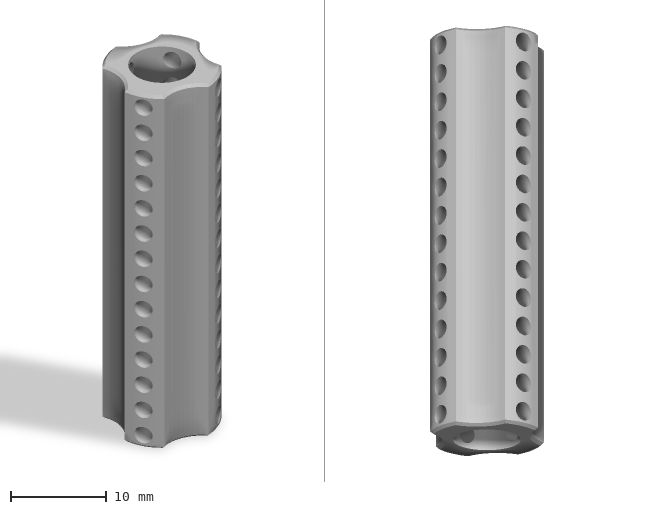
import cadquery as cq
import math

length = 43.75
body_radius = 6.25
lobe_half_width = 2.2
flute_bottom_radius = 4.85
edge_chamfer = 0.3

bore_diameter = 7.1
web_top = 10.95
web_bottom = 8.55
web_hole_diameter = 3.0

side_count = 4
side_hole_diameter = 2.0
holes_per_side = 14
side_hole_end_radius = 2.85

side_angle = 360 / side_count
hole_pitch = length / holes_per_side
lobe_edge_angle = math.degrees(math.asin(lobe_half_width / body_radius))


def polar_point(radius, degrees):
    angle = math.radians(degrees)
    return (radius * math.cos(angle), radius * math.sin(angle))


def fluted_bar():
    """Round bar with a shallow concave flute between neighbouring lobes."""
    outline = cq.Workplane("XY").moveTo(*polar_point(body_radius, -lobe_edge_angle))
    for side in range(side_count):
        lobe_angle = side * side_angle
        next_lobe_angle = lobe_angle + side_angle
        outline = outline.threePointArc(
            polar_point(body_radius, lobe_angle),
            polar_point(body_radius, lobe_angle + lobe_edge_angle),
        )
        outline = outline.threePointArc(
            polar_point(flute_bottom_radius, lobe_angle + side_angle / 2),
            polar_point(body_radius, next_lobe_angle - lobe_edge_angle),
        )
    bar = outline.close().extrude(length)
    return bar.faces("<Z or >Z").edges().chamfer(edge_chamfer)


def vertical_cylinder(diameter, bottom, top):
    return cq.Workplane("XY").workplane(offset=bottom).circle(diameter / 2).extrude(top - bottom)


def side_holes():
    """One row of flat-ended radial holes, pointing along +X."""
    centers = [(0, hole_pitch * (index + 0.5)) for index in range(holes_per_side)]
    return (
        cq.Workplane("YZ", origin=(side_hole_end_radius, 0, 0))
        .pushPoints(centers)
        .circle(side_hole_diameter / 2)
        .extrude(body_radius)
    )


result = fluted_bar()

result = result.cut(vertical_cylinder(bore_diameter, web_top, length))
result = result.cut(vertical_cylinder(bore_diameter, 0, web_bottom))
result = result.cut(vertical_cylinder(web_hole_diameter, web_bottom, web_top))

hole_row = side_holes()
for side in range(side_count):
    result = result.cut(hole_row.rotate((0, 0, 0), (0, 0, 1), side * side_angle))